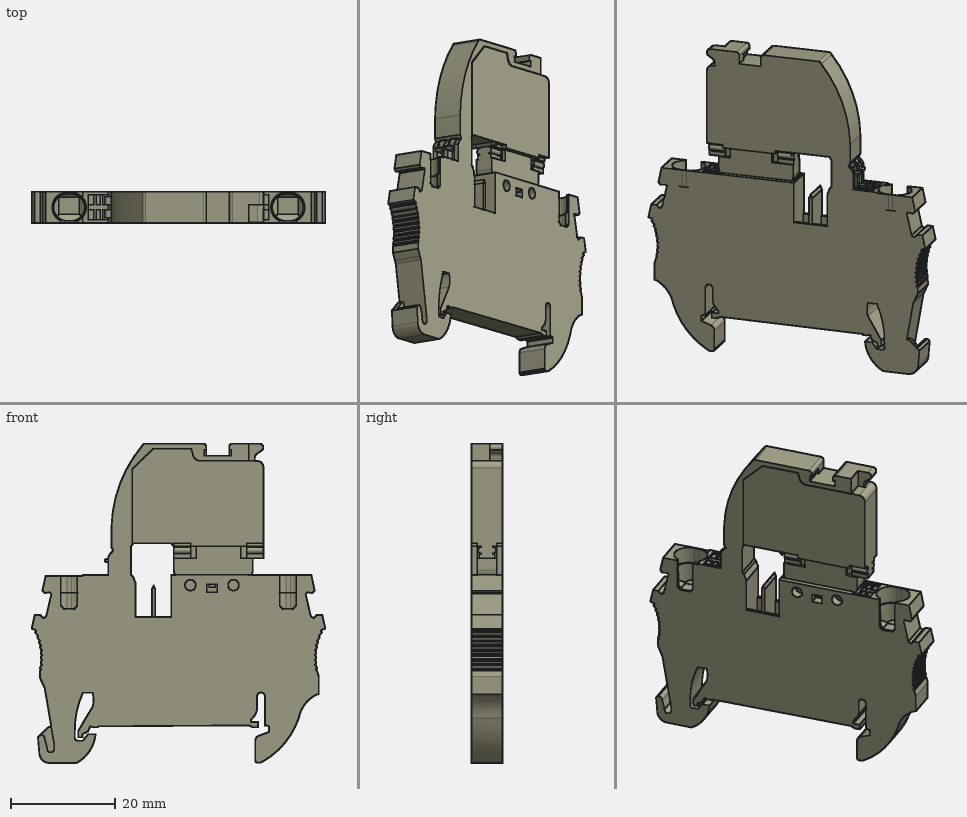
import cadquery as cq
import math

WIDTH = 56.25
HEIGHT = 61.2
THICK = 6.0
FRONT = -THICK / 2
BACK = THICK / 2
HALF_WIDTH = WIDTH / 2

DECK_Z = 36.05
DECK_DROP = 0.2
DECK_STEP_X = -18.35
DECK_END_X = 25.45
EPS = 0.1

GRIP_RADIUS = 11.65
GRIP_WAIST_X = 26.3
GRIP_WAIST_Z = 20.45
GRIP_TOP_Z = 25.5
GRIP_PITCH = 0.9
GRIP_TEETH = 9
GRIP_DEPTH = 0.25

GAP_LEFT_X = -8.2
GAP_RIGHT_X = -1.4
GAP_FLOOR_Z = 28.05
BLADE_X = -4.8
BLADE_WIDTH = 0.7
BLADE_TOP_Z = 34.05
BLADE_TIP_HEIGHT = 0.75
BLADE_DEPTH = 5.65
BLADE_PIT_HALF_DEPTH = 2.4
BLADE_PIT_FLOOR_Z = 25.1

WELL_X = 20.95
WELL_FLAT_LENGTH = 0.85
WELL_RADIUS = 2.8
WELL_LOWER_RADIUS = 2.6
WELL_STEP_Z = 32.6
WELL_FLOOR_Z = 28.35
WELL_FLOOR_LENGTH = 3.9
WELL_FLOOR_FRONT_Y = -1.35
WELL_FLOOR_BACK_Y = 1.9
WELL_WINDOW_WIDTH = 3.2
WELL_WINDOW_BOTTOM_Z = 29.55
WELL_WINDOW_CHAMFER = 0.6

TOWER_LEFT_X = -13.45
TOWER_RIGHT_X = -9.05
TOWER_TOP_Z = 41.0
HINGE_SLOT_INNER_Y = 0.5
HINGE_SLOT_OUTER_Y = 2.0
HINGE_SLOT_DEPTH = 1.45
HINGE_PIN_DIAMETER = 1.7
HINGE_NUB_REACH = 0.7
HINGE_NUB_DIAMETER = 0.6
HINGE_NUB_Z = 38.8

MARKER_HALF_WIDTH = 2.4
MARKER_LEFT_X = -17.25
MARKER_DEPTH = 0.35
MARKER_RIB_HEIGHT = 0.2
MARKER_RIB_WIDTH = 0.4

COVER_LEFT_X = -12.85
PLUG_RIGHT_X = 16.3
PLUG_BOTTOM_Z = 41.5
COVER_BOTTOM_Z = 42.1
PANEL_RECESS = 0.1
HOOK_SPLIT_X = 13.45
HOOK_SPLIT_Y = 0.5
PANEL_TOP_Z = 57.9
NOTCH_FLOOR_Z = 58.9
NOTCH_LEFT_X = 5.3
NOTCH_RIGHT_X = 9.7
UNDERCUT_REACH = 0.4
UNDERCUT_HEIGHT = 1.1

TONGUE_LEFT_X = -0.9
TONGUE_RIGHT_X = 14.25
TONGUE_HALF_DEPTH = 1.85
TONGUE_CORNER = 1.85
SOCKET_HALF_DEPTH = 1.95
SOCKET_DEPTH = 0.75

CONTACT_BOTTOM_Z = 39.25
CONTACT_HALF_DEPTH = 1.1
CONTACT_LENGTH = 4.35
CONTACT_SHELF_Z = 40.1
CONTACT_SHELF_HALF_DEPTH = 1.5
CONTACT_BAR_DIAMETER = 1.2
CONTACT_BAR_Z = 40.8
CONTACT_BAR_LENGTH = 3.25

TEST_HOLE_DIAMETER = 2.1
TEST_HOLE_X = (2.25, 10.5)
TEST_HOLE_Z = 34.1
TEST_HOLE_DEPTH = 1.85
WINDOW_X = 6.4
WINDOW_Z = 33.5
WINDOW_LENGTH = 2.0
WINDOW_HEIGHT = 1.5
WINDOW_TAB_LENGTH = 1.15
WINDOW_TAB_HEIGHT = 0.55
WINDOW_TAB_SETBACK = 0.25

WEB_THICKNESS = 1.0


def trace(path, front=FRONT, back=BACK):
    """Extrude an XZ outline; a nested ((x, z), (x, z)) pair is an arc's midpoint and end."""
    wire = cq.Workplane("XZ", origin=(0, back, 0)).moveTo(*path[0])
    for step in path[1:]:
        if isinstance(step[0], tuple):
            wire = wire.threePointArc(*step)
        else:
            wire = wire.lineTo(*step)
    return wire.close().extrude(back - front)


def block(x_range, y_range, z_range):
    """Box given by its limits along each axis."""
    size = [high - low for low, high in (x_range, y_range, z_range)]
    return cq.Workplane("XY").box(*size, centered=False).translate((x_range[0], y_range[0], z_range[0]))


def rod_along_x(x_start, length, y, z, diameter):
    return cq.Workplane("YZ", origin=(x_start, y, z)).circle(diameter / 2).extrude(length)


def mirrored(points):
    """Reflect left-hand outline points to the right and reverse their order."""
    return [(-x, z) for x, z in reversed(points)]


def grip_points():
    """Saw-toothed concave grip on the left end, from bottom to top."""
    points = []
    for tooth in reversed(range(GRIP_TEETH)):
        z = GRIP_TOP_Z - tooth * GRIP_PITCH
        rise = math.sqrt(GRIP_RADIUS**2 - (z - GRIP_WAIST_Z) ** 2)
        x = -(GRIP_WAIST_X + GRIP_RADIUS - rise)
        points.append((x, z - GRIP_PITCH / 2))
        points.append((x + GRIP_DEPTH, z - GRIP_PITCH / 4))
        points.append((x, z))
    return points


def shoulder_points():
    """Left end above the grip: marker groove between two lips, from bottom to top."""
    return [
        (-HALF_WIDTH, 25.8), (-27.55, 28.4), (-26.45, 28.4), (-25.85, 27.8), (-25.35, 28.15),
        (-24.35, 32.45), (-24.6, 32.7), (-25.65, 32.55), (-26.1, 33.05),
    ]


def left_foot_path():
    """Flexible left foot, from the rail side round to the outer end."""
    return [
        (-15.3, 7.05), (-15.5, 6.85), (-16.3, 6.85), (-16.9, 7.05), (-17.3, 6.05), (-18.35, 5.6),
        (-18.35, 4.95), (-19.2, 4.95), (-19.2, 6.2), (-16.45, 10.85),
        ((-16.3, 12.2), (-16.45, 13.45)), (-18.3, 13.45), ((-19.45, 9.9), (-19.85, 6.1)),
        (-19.85, 5.0), ((-19.7, 4.5), (-19.35, 4.35)), (-18.3, 4.35), (-17.3, 5.6), (-15.85, 5.6),
        ((-16.9, 2.5), (-19.6, 0.0)), (-24.7, 0.0), ((-26.2, 0.75), (-26.7, 2.1)), (-26.95, 5.0),
        (-26.45, 5.45), ((-25.95, 5.3), (-25.65, 4.85)), (-25.15, 2.9),
        ((-24.5, 2.1), (-23.8, 2.7)), (-23.8, 3.7), (-25.65, 14.45), (-26.0, 15.2), (-26.6, 16.45),
    ]


def right_foot_path():
    """Rigid right foot, from the outer end round to the rail side."""
    return [
        (26.9, 16.65), (26.9, 13.2), (26.4, 13.1), ((24.25, 11.3), (23.1, 8.75)),
        ((20.5, 4.05), (16.05, 0.25)), ((15.4, 0.05), (14.8, 0.2)), (14.7, 0.5), (14.7, 4.4),
        ((14.95, 4.95), (15.5, 5.3)), (17.3, 6.0), (17.3, 7.0), (17.0, 7.2), (16.5, 7.2),
        (16.5, 12.8), ((15.8, 13.5), (15.05, 12.8)), (15.05, 10.4), ((14.7, 9.3), (13.95, 8.45)),
        (13.85, 8.1), (13.95, 7.9), (15.25, 7.9), (15.25, 6.85), (14.25, 6.85), (13.45, 7.2),
    ]


def housing():
    left_end = grip_points() + shoulder_points()
    middle = [
        (-DECK_END_X, DECK_Z - DECK_DROP), (DECK_STEP_X, DECK_Z - DECK_DROP), (DECK_STEP_X, DECK_Z),
        (TOWER_LEFT_X, DECK_Z), (TOWER_LEFT_X, 39.4),
        ((-11.25, TOWER_TOP_Z), (TOWER_RIGHT_X, 39.4)), (TOWER_RIGHT_X, DECK_Z),
        (-8.7, 35.75), (GAP_LEFT_X, 34.45), (GAP_LEFT_X, GAP_FLOOR_Z),
        (GAP_RIGHT_X, GAP_FLOOR_Z), (GAP_RIGHT_X, DECK_Z), (DECK_END_X, DECK_Z),
    ]
    return trace(left_end + middle + mirrored(left_end) + right_foot_path() + left_foot_path())


def foot_web():
    outline = [(-26.45, 5.45), (-24.85, 7.0), (-23.25, 7.0), (-23.25, 1.85), (-25.1, 1.85)]
    return trace(outline, BACK - WEB_THICKNESS, BACK)


def blade():
    left = BLADE_X - BLADE_WIDTH / 2
    right = BLADE_X + BLADE_WIDTH / 2
    shoulder_z = BLADE_TOP_Z - BLADE_TIP_HEIGHT
    outline = [
        (left, BLADE_PIT_FLOOR_Z - EPS), (left, shoulder_z), (BLADE_X, BLADE_TOP_Z),
        (right, shoulder_z), (right, BLADE_PIT_FLOOR_Z - EPS),
    ]
    return trace(outline, -BLADE_DEPTH / 2, BLADE_DEPTH / 2)


def blade_pit():
    """Pit in the floor of the gap, around the foot of the blade."""
    return block(
        (GAP_LEFT_X, GAP_RIGHT_X),
        (-BLADE_PIT_HALF_DEPTH, BLADE_PIT_HALF_DEPTH),
        (BLADE_PIT_FLOOR_Z, GAP_FLOOR_Z + EPS),
    )


def well_shaft(x, bottom_z, radius):
    """Upright shaft with round ends, open at the deck."""
    length = WELL_FLAT_LENGTH + 2 * radius
    height = DECK_Z + EPS - bottom_z
    return cq.Workplane("XY", origin=(x, 0, bottom_z)).slot2D(length, 2 * radius).extrude(height)


def screw_well(x):
    """Stepped well ending in a 45 degree funnel, with a window in the front face."""
    floor_depth = WELL_FLOOR_BACK_Y - WELL_FLOOR_FRONT_Y
    floor_y = (WELL_FLOOR_BACK_Y + WELL_FLOOR_FRONT_Y) / 2
    funnel_height = WELL_STEP_Z - WELL_FLOOR_Z
    funnel = (
        cq.Workplane("XY", origin=(x, floor_y, WELL_FLOOR_Z))
        .rect(WELL_FLOOR_LENGTH, floor_depth)
        .workplane(offset=funnel_height)
        .rect(WELL_FLOOR_LENGTH + 2 * funnel_height, floor_depth + 2 * funnel_height)
        .loft(ruled=True)
    )
    lower = funnel.intersect(well_shaft(x, WELL_FLOOR_Z - EPS, WELL_LOWER_RADIUS))
    window = block(
        (x - WELL_WINDOW_WIDTH / 2, x + WELL_WINDOW_WIDTH / 2),
        (FRONT - EPS, WELL_FLOOR_FRONT_Y),
        (WELL_WINDOW_BOTTOM_Z, DECK_Z + EPS),
    )
    window = window.edges("|Y and <Z").chamfer(WELL_WINDOW_CHAMFER)
    return lower.union(well_shaft(x, WELL_STEP_Z, WELL_RADIUS)).union(window)


def marker_recess():
    """Left recess in the deck, beside the tower, with a spine and cross ribs on its floor."""
    floor_z = DECK_Z - MARKER_DEPTH
    x_range = (MARKER_LEFT_X, TOWER_LEFT_X)
    length = TOWER_LEFT_X - MARKER_LEFT_X
    recess = block(x_range, (-MARKER_HALF_WIDTH, MARKER_HALF_WIDTH), (floor_z, DECK_Z + EPS))
    rib_z = (floor_z, floor_z + MARKER_RIB_HEIGHT)
    recess = recess.cut(block(x_range, (-HINGE_SLOT_INNER_Y, HINGE_SLOT_INNER_Y), rib_z))
    for fraction in (1 / 3, 2 / 3):
        x = MARKER_LEFT_X + fraction * length
        rib_x = (x - MARKER_RIB_WIDTH / 2, x + MARKER_RIB_WIDTH / 2)
        recess = recess.cut(block(rib_x, (-MARKER_HALF_WIDTH, MARKER_HALF_WIDTH), rib_z))
    return recess


def hinge_slot(side):
    """Upright slot in the outer face of the tower."""
    y_range = sorted((side * HINGE_SLOT_INNER_Y, side * HINGE_SLOT_OUTER_Y))
    x_range = (TOWER_LEFT_X - EPS, TOWER_LEFT_X + HINGE_SLOT_DEPTH)
    return block(x_range, y_range, (DECK_Z - MARKER_DEPTH, TOWER_TOP_Z - EPS))


def hinge_clip(side):
    """Hinge knuckle inside a tower slot, with a nub reaching out of the tower."""
    y_back = max(side * HINGE_SLOT_INNER_Y, side * HINGE_SLOT_OUTER_Y)
    width = HINGE_SLOT_OUTER_Y - HINGE_SLOT_INNER_Y
    knuckle_x = TOWER_LEFT_X + HINGE_SLOT_DEPTH
    knuckle_z = TOWER_TOP_Z - HINGE_PIN_DIAMETER / 2 - EPS
    nub_x = TOWER_LEFT_X - HINGE_NUB_REACH + HINGE_NUB_DIAMETER / 2
    wall = cq.Workplane("XZ", origin=(0, y_back, 0))
    knuckle = wall.center(knuckle_x, knuckle_z).circle(HINGE_PIN_DIAMETER / 2).extrude(width)
    nub = wall.center(nub_x, HINGE_NUB_Z).circle(HINGE_NUB_DIAMETER / 2).extrude(width)
    half = HINGE_NUB_DIAMETER / 2
    arm = block((nub_x, knuckle_x + EPS), (y_back - width, y_back), (HINGE_NUB_Z - half, HINGE_NUB_Z + half))
    return knuckle.union(nub).union(arm)


def socket():
    return block(
        (TONGUE_LEFT_X - EPS, TONGUE_RIGHT_X + EPS),
        (-SOCKET_HALF_DEPTH, SOCKET_HALF_DEPTH),
        (DECK_Z - SOCKET_DEPTH, DECK_Z + EPS),
    )


def test_openings():
    """Two round openings with a rectangular latch window between them."""
    wall = cq.Workplane("XZ", origin=(0, FRONT + TEST_HOLE_DEPTH, 0))
    centres = [(x, TEST_HOLE_Z) for x in TEST_HOLE_X]
    holes = wall.pushPoints(centres).circle(TEST_HOLE_DIAMETER / 2).extrude(TEST_HOLE_DEPTH)
    window = wall.center(WINDOW_X, WINDOW_Z).rect(WINDOW_LENGTH, WINDOW_HEIGHT).extrude(TEST_HOLE_DEPTH)
    window_top = WINDOW_Z + WINDOW_HEIGHT / 2
    tab = block(
        (WINDOW_X - WINDOW_TAB_LENGTH / 2, WINDOW_X + WINDOW_TAB_LENGTH / 2),
        (FRONT + WINDOW_TAB_SETBACK, FRONT + TEST_HOLE_DEPTH),
        (window_top - WINDOW_TAB_HEIGHT, window_top),
    )
    return holes.union(window.cut(tab))


def cover():
    """Plug cover with the curved handle, top notch and hook."""
    outline = [
        (COVER_LEFT_X, 41.4), (COVER_LEFT_X, 45.3), ((-11.15, 53.75), (-7.0, 60.8)),
        ((-6.75, 61.1), (-6.35, HEIGHT)), (4.7, HEIGHT), ((5.15, 61.05), (NOTCH_LEFT_X, 60.6)),
        (NOTCH_LEFT_X, NOTCH_FLOOR_Z), (NOTCH_RIGHT_X, NOTCH_FLOOR_Z), (NOTCH_RIGHT_X, 60.6),
        ((9.85, 61.05), (10.3, HEIGHT)), (15.5, HEIGHT), ((16.2, 60.65), (16.1, 60.0)),
        (15.1, 59.3), ((14.75, 58.95), (14.65, 58.4)), (14.65, PANEL_TOP_Z), (15.0, PANEL_TOP_Z),
        ((15.9, 57.55), (PLUG_RIGHT_X, 56.6)), (PLUG_RIGHT_X, PLUG_BOTTOM_Z),
        (TONGUE_LEFT_X, PLUG_BOTTOM_Z), (-1.4, COVER_BOTTOM_Z), (-8.65, COVER_BOTTOM_Z),
        (TOWER_RIGHT_X, PLUG_BOTTOM_Z), (TOWER_RIGHT_X, 39.4), (-11.0, 39.4), (-12.55, 40.7),
    ]
    body = trace(outline)
    undercut_z = (NOTCH_FLOOR_Z, NOTCH_FLOOR_Z + UNDERCUT_HEIGHT)
    undercut_x = (NOTCH_LEFT_X - UNDERCUT_REACH, NOTCH_RIGHT_X + UNDERCUT_REACH)
    body = body.cut(block(undercut_x, (FRONT, HOOK_SPLIT_Y), undercut_z))
    in_front_of_hook = block((HOOK_SPLIT_X, HALF_WIDTH), (FRONT, HOOK_SPLIT_Y), (PANEL_TOP_Z, HEIGHT + EPS))
    return body.cut(in_front_of_hook)


def panel_recess():
    """Shallow step that sets the side panel back from the cover's rim."""
    outline = [
        (-8.9, PLUG_BOTTOM_Z), (-8.9, 56.3), (-4.9, 60.2), (2.45, 60.2), (2.7, 59.4),
        ((3.0, 58.5), (4.0, PANEL_TOP_Z)), (HALF_WIDTH, PANEL_TOP_Z), (HALF_WIDTH, PLUG_BOTTOM_Z),
    ]
    return trace(outline, FRONT, FRONT + PANEL_RECESS)


def tongue():
    bottom_z = DECK_Z - SOCKET_DEPTH - EPS
    return block(
        (TONGUE_LEFT_X, TONGUE_RIGHT_X),
        (-TONGUE_HALF_DEPTH, TONGUE_HALF_DEPTH),
        (bottom_z, COVER_BOTTOM_Z + EPS),
    ).edges("|Y and <Z").fillet(TONGUE_CORNER)


def contact_pocket(x_range, notch_range, side):
    """Clearance beside a contact: a window in the tongue and a notch in the panel's lower edge."""
    y_range = sorted((side * CONTACT_HALF_DEPTH, side * THICK))
    window = block(x_range, y_range, (CONTACT_BOTTOM_Z, PLUG_BOTTOM_Z))
    notch_y = sorted((side * TONGUE_HALF_DEPTH, side * THICK))
    return window.union(block(notch_range, notch_y, (PLUG_BOTTOM_Z - EPS, COVER_BOTTOM_Z)))


def contact(x_range, bar_range):
    """Spring contact: a core, a shelf along its bottom and a rounded bar on both faces."""
    core = block(x_range, (-CONTACT_HALF_DEPTH, CONTACT_HALF_DEPTH), (CONTACT_BOTTOM_Z, COVER_BOTTOM_Z))
    shelf_y = (-CONTACT_SHELF_HALF_DEPTH, CONTACT_SHELF_HALF_DEPTH)
    core = core.union(block(bar_range, shelf_y, (CONTACT_BOTTOM_Z, CONTACT_SHELF_Z)))
    for side in (-1, 1):
        y = side * CONTACT_HALF_DEPTH
        bar_length = bar_range[1] - bar_range[0]
        core = core.union(rod_along_x(bar_range[0], bar_length, y, CONTACT_BAR_Z, CONTACT_BAR_DIAMETER))
    return core


def fuse_plug():
    plug = cover().cut(panel_recess()).union(tongue())
    left_x = (TONGUE_LEFT_X, TONGUE_LEFT_X + CONTACT_LENGTH)
    left_bar = (TONGUE_LEFT_X, TONGUE_LEFT_X + CONTACT_BAR_LENGTH)
    right_x = (PLUG_RIGHT_X - CONTACT_LENGTH, PLUG_RIGHT_X)
    right_bar = (PLUG_RIGHT_X - CONTACT_BAR_LENGTH, PLUG_RIGHT_X)
    for x_range, bar_range in ((left_x, left_bar), (right_x, right_bar)):
        for side in (-1, 1):
            plug = plug.cut(contact_pocket(x_range, bar_range, side))
        plug = plug.union(contact(x_range, bar_range))
    return plug


result = housing().cut(blade_pit()).union(blade()).union(foot_web())
result = result.cut(socket()).cut(test_openings())
result = result.cut(marker_recess()).cut(marker_recess().mirror("YZ"))
for well_x in (-WELL_X, WELL_X):
    result = result.cut(screw_well(well_x))
result = result.union(fuse_plug())
for hinge_side in (-1, 1):
    result = result.cut(hinge_slot(hinge_side)).union(hinge_clip(hinge_side))